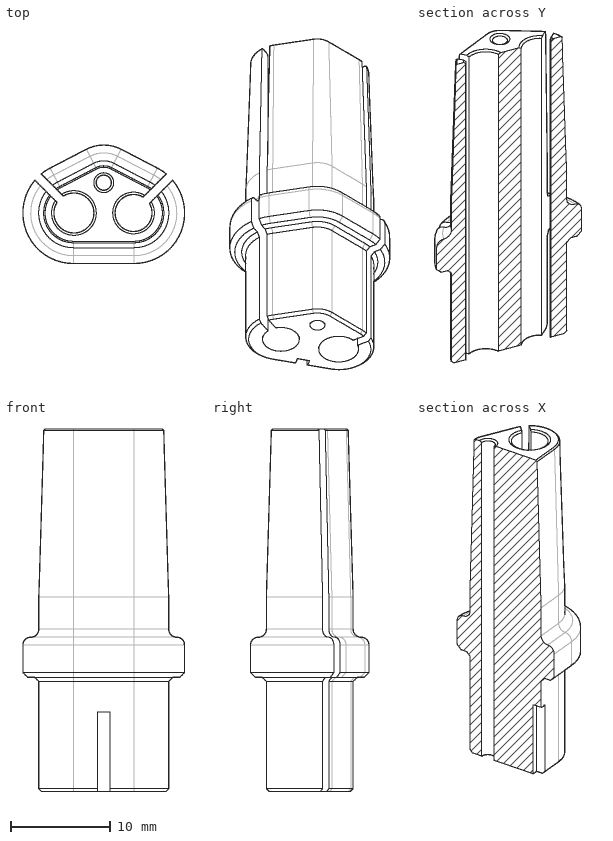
import cadquery as cq
import math

LOBE_X = 3.05
RIDGE_Y = 3.05
LOBE_RADIUS = 3.5
RIDGE_RADIUS = 2.2

HEIGHT = 36.5
COLLAR_BOTTOM = 11.5
COLLAR_TOP = 15.55
TAPER_START = 19.6
TAPER_ANGLE = 1.7

COLLAR_OVERHANG = 1.6
COLLAR_TOP_FILLET = COLLAR_OVERHANG / 2
COLLAR_LOWER_CHAMFER = 0.5
COLLAR_ROOT_CHAMFER = 0.4

BOTTOM_CHAMFER = 0.3
TIP_CHAMFER = 0.15

BORE_X = 3.0
LEFT_BORE_DIAMETER = 4.0
RIGHT_BORE_DIAMETER = 3.7
RIDGE_BORE_DIAMETER = 1.5
COUNTERSINK_WIDTH = 0.25
COUNTERSINK_DEPTH = 0.15
SLIT_WIDTH = 0.9
SLIT_ANGLE = 45.0
SLIT_LENGTH = 10.0

KEYWAY_WIDTH = 1.25
KEYWAY_HEIGHT = 8.0
KEYWAY_DEPTH = 1.0

TOLERANCE = 1e-3


def section(z, growth):
    """Closed outline at height z, with every lobe radius enlarged by growth."""
    side_radius = LOBE_RADIUS + growth
    ridge_radius = RIDGE_RADIUS + growth
    centre_distance = math.hypot(LOBE_X, RIDGE_Y)
    radius_drop = LOBE_RADIUS - RIDGE_RADIUS
    flank_normal = math.atan2(LOBE_X, RIDGE_Y) + math.asin(radius_drop / centre_distance)
    normal_x = math.cos(flank_normal)
    normal_y = math.sin(flank_normal)
    arc_middle = (flank_normal - math.pi / 2) / 2
    middle_x = LOBE_X + side_radius * math.cos(arc_middle)
    middle_y = side_radius * math.sin(arc_middle)
    flank_x = LOBE_X + side_radius * normal_x
    flank_y = side_radius * normal_y
    ridge_x = ridge_radius * normal_x
    ridge_y = RIDGE_Y + ridge_radius * normal_y
    return (
        cq.Workplane("XY", origin=(0, 0, z))
        .moveTo(-LOBE_X, -side_radius)
        .lineTo(LOBE_X, -side_radius)
        .threePointArc((middle_x, middle_y), (flank_x, flank_y))
        .lineTo(ridge_x, ridge_y)
        .threePointArc((0, RIDGE_Y + ridge_radius), (-ridge_x, ridge_y))
        .lineTo(-flank_x, flank_y)
        .threePointArc((-middle_x, middle_y), (-LOBE_X, -side_radius))
        .close()
    )


def loft(z_low, growth_low, z_high, growth_high):
    """Solid between two sections whose outlines differ only in growth."""
    low = section(z_low, growth_low).val()
    high = section(z_high, growth_high).val()
    return cq.Workplane(cq.Solid.makeLoft([low, high], True))


def make_body():
    """Straight shank with a chamfered foot, then a tapered nose with a chamfered tip."""
    tip_start = HEIGHT - TIP_CHAMFER
    tip_growth = -(tip_start - TAPER_START) * math.tan(math.radians(TAPER_ANGLE))
    foot = loft(0, -BOTTOM_CHAMFER, BOTTOM_CHAMFER, 0)
    shank = section(BOTTOM_CHAMFER, 0).extrude(TAPER_START - BOTTOM_CHAMFER)
    nose = loft(TAPER_START, 0, tip_start, tip_growth)
    tip = loft(tip_start, tip_growth, HEIGHT, tip_growth - TIP_CHAMFER)
    return foot.union(shank).union(nose).union(tip)


def make_collar():
    """Collar with a rounded upper rim and a bevelled lower rim."""
    collar = section(COLLAR_BOTTOM, COLLAR_OVERHANG).extrude(COLLAR_TOP - COLLAR_BOTTOM)
    collar = collar.faces("<Z").edges().chamfer(COLLAR_LOWER_CHAMFER)
    return collar.faces(">Z").edges().fillet(COLLAR_TOP_FILLET)


def make_upper_root():
    """Concave fillet that blends the collar top into the body."""
    base = section(COLLAR_BOTTOM, COLLAR_OVERHANG).extrude(COLLAR_TOP - COLLAR_BOTTOM)
    post = section(COLLAR_TOP, 0).extrude(TAPER_START - COLLAR_TOP)
    foot_centres = [edge.Center() for edge in section(COLLAR_TOP, 0).val().Edges()]
    blended = base.union(post)
    foot_edges = [
        edge
        for edge in blended.edges().vals()
        if any((edge.Center() - centre).Length < TOLERANCE for centre in foot_centres)
    ]
    blended = blended.newObject(foot_edges).fillet(COLLAR_TOP_FILLET)
    core = section(COLLAR_BOTTOM, COLLAR_TOP_FILLET).extrude(TAPER_START - COLLAR_BOTTOM)
    return blended.intersect(core)


def make_bore(x, y, diameter):
    """Through hole cutter, countersunk at the tip."""
    radius = diameter / 2
    hole = cq.Workplane("XY").center(x, y).circle(radius).extrude(HEIGHT)
    sink = cq.Solid.makeCone(
        radius,
        radius + COUNTERSINK_WIDTH,
        COUNTERSINK_DEPTH,
        cq.Vector(x, y, HEIGHT - COUNTERSINK_DEPTH),
        cq.Vector(0, 0, 1),
    )
    return hole.union(cq.Workplane(sink))


def make_slit(side):
    """Full-height slit running outwards from the bore on the given side (-1 or +1)."""
    slit = cq.Workplane("XY").box(SLIT_LENGTH, SLIT_WIDTH, HEIGHT, centered=(False, True, False))
    direction = SLIT_ANGLE if side > 0 else 180 - SLIT_ANGLE
    return slit.rotate((0, 0, 0), (0, 0, 1), direction).translate((side * BORE_X, 0, 0))


def make_keyway():
    """Blind slot in the -Y face, open at the foot."""
    return (
        cq.Workplane("XY")
        .box(KEYWAY_WIDTH, KEYWAY_DEPTH, KEYWAY_HEIGHT, centered=(True, False, False))
        .translate((0, -LOBE_RADIUS, 0))
    )


def make_lower_root():
    """Bevel between the collar underside and the body."""
    return loft(COLLAR_BOTTOM - COLLAR_ROOT_CHAMFER, 0, COLLAR_BOTTOM, COLLAR_ROOT_CHAMFER)


collar = make_collar().union(make_upper_root()).union(make_lower_root())
result = make_body().union(collar)
result = result.cut(make_bore(-BORE_X, 0, LEFT_BORE_DIAMETER))
result = result.cut(make_bore(BORE_X, 0, RIGHT_BORE_DIAMETER))
result = result.cut(make_bore(0, RIDGE_Y, RIDGE_BORE_DIAMETER))
for side in (-1, 1):
    result = result.cut(make_slit(side))
result = result.cut(make_keyway())